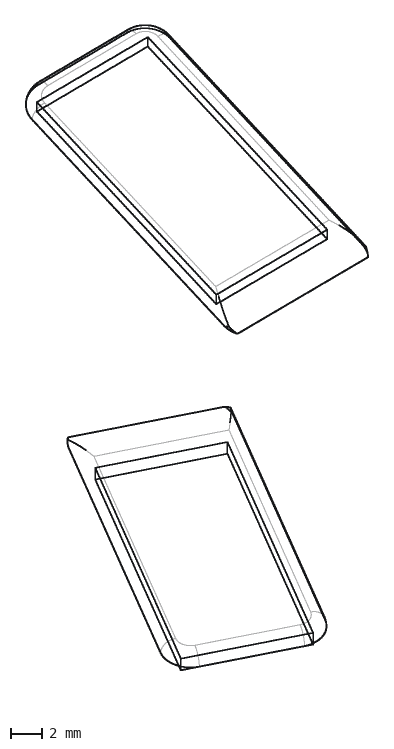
import cadquery as cq
import math

length = 23.7
width = 11.0
cap_height = 1.0
edge_radius = cap_height
corner_radius = 2.0
nose_radius = 6.0
outline_length = 24.65

plug_length = 19.3
plug_width = 8.82
plug_height = 1.0
plug_inset = 1.07

nose_run = math.sqrt(nose_radius**2 - (nose_radius - cap_height) ** 2)
nose_start = length - nose_run


def block(size_x, size_y, height):
    """Box starting at X = 0, centred on Y, standing on Z = 0."""
    return cq.Workplane("XY").box(size_x, size_y, height, centered=(False, True, False))


def rounded_cap():
    """Plate with its top edge rounded over on the -X end and both long sides.

    It reaches below Z = 0, so the round-over ends on a wall; the nose profile trims it flush.
    """
    plate_length = outline_length + corner_radius
    plate = block(plate_length, width, cap_height + plug_height).translate((0, 0, -plug_height))
    plate = plate.edges("|Z and <X").fillet(corner_radius)
    plate = plate.faces(">Z").edges("not >X").fillet(edge_radius)
    outline = block(outline_length, width, cap_height)
    outline = outline.edges("|Z and >X").fillet(corner_radius)
    return plate.intersect(outline)


def nose_profile():
    """Region kept by the sloped end, extruded across the full width."""
    mid_angle = math.asin(nose_run / nose_radius) / 2
    mid_x = nose_start + nose_radius * math.sin(mid_angle)
    mid_z = cap_height - nose_radius * (1 - math.cos(mid_angle))
    return (
        cq.Workplane("XZ")
        .moveTo(0, 0)
        .lineTo(0, cap_height)
        .lineTo(nose_start, cap_height)
        .threePointArc((mid_x, mid_z), (length, 0))
        .close()
        .extrude(width / 2, both=True)
    )


cap = rounded_cap().intersect(nose_profile())
plug = block(plug_length, plug_width, plug_height).translate((plug_inset, 0, -plug_height))

result = cap.union(plug)